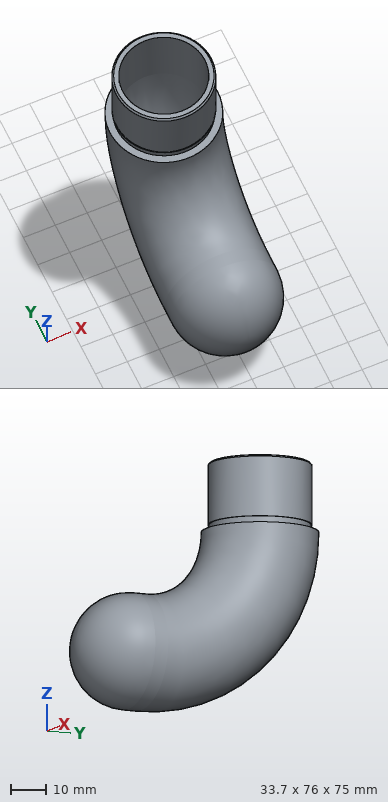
import cadquery as cq

total_length = 76.0
total_height = 75.0

body_diameter = 33.7
bore_diameter = 25.7

spigot_diameter = 29.7
spigot_height = 20.0
spigot_chamfer = 0.5
relief_diameter = 29.2
relief_height = 2.1

body_radius = body_diameter / 2
bend_radius = total_height - spigot_height - body_radius
straight_length = total_length - bend_radius - body_diameter


def quarter_bend(diameter):
    """Round bar bent a quarter turn from the upper face (Z = 0) towards -Y."""
    return (
        cq.Workplane("XY")
        .circle(diameter / 2)
        .revolve(90, (0.75, -bend_radius, 0), (-0.75, -bend_radius, 0))
    )


def domed_end():
    """Short straight length after the bend, closed by a hemisphere."""
    return (
        cq.Workplane("YZ", origin=(0, -bend_radius, -bend_radius))
        .lineTo(0, body_radius)
        .lineTo(-straight_length, body_radius)
        .radiusArc((-straight_length - body_radius, 0), -body_radius)
        .close()
        .revolve(360, (0, 0), (1, 0))
    )


def spigot():
    """Upright spigot with a narrow relief at its foot and a chamfered rim."""
    relief = cq.Workplane("XY").circle(relief_diameter / 2).extrude(relief_height)
    sleeve = (
        cq.Workplane("XY", origin=(0, 0, relief_height))
        .circle(spigot_diameter / 2)
        .extrude(spigot_height - relief_height)
        .faces(">Z")
        .chamfer(spigot_chamfer)
    )
    return relief.union(sleeve)


def bore():
    """Passage down the spigot and round the bend, ending flat where the bend ends."""
    upright = cq.Workplane("XY").circle(bore_diameter / 2).extrude(spigot_height)
    return upright.union(quarter_bend(bore_diameter))


result = quarter_bend(body_diameter).union(domed_end()).union(spigot()).cut(bore())